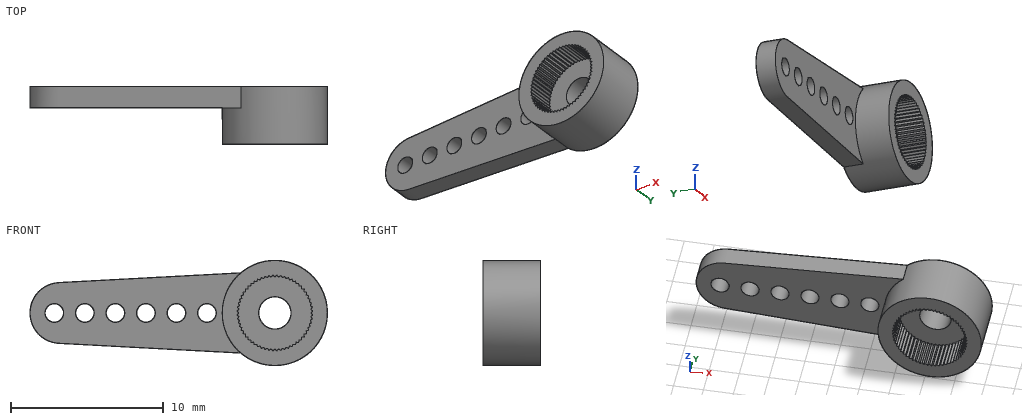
import cadquery as cq
import math


overall_length = 19.5

hub_radius = 3.45
hub_height = 3.8
screw_hole_diameter = 2.1

spline_teeth = 60
spline_root_radius = 2.48
spline_tip_radius = 2.37
socket_floor = 1.8

arm_thickness = 1.4
arm_end_radius = 2.0
arm_length = overall_length - hub_radius - arm_end_radius
arm_base_radius = 2.75

linkage_hole_count = 6
linkage_hole_pitch = 2.0
linkage_hole_diameter = 1.2
hole_gap_from_hub = 1.0
nearest_hole_distance = hub_radius + hole_gap_from_hub


def back_plane():
    """Sketch plane on the flat back: local x is X, local y is Z, extrusion goes toward -Y."""
    return cq.Workplane("XZ")


def make_arm():
    """Tapered arm with straight sides tangent to its rounded end."""
    taper = math.asin((arm_base_radius - arm_end_radius) / arm_length)
    end_x = -arm_length - arm_end_radius * math.sin(taper)
    end_z = arm_end_radius * math.cos(taper)
    base_x = -arm_base_radius * math.sin(taper)
    base_z = arm_base_radius * math.cos(taper)
    return (
        back_plane()
        .moveTo(base_x, base_z)
        .lineTo(end_x, end_z)
        .threePointArc((-arm_length - arm_end_radius, 0), (end_x, -end_z))
        .lineTo(base_x, -base_z)
        .close()
        .extrude(arm_thickness)
    )


def make_hub():
    return back_plane().circle(hub_radius).extrude(hub_height)


def make_socket():
    """Socket cutter: V-shaped teeth, with a tooth tip on the X axis."""
    outline = []
    for step in range(2 * spline_teeth):
        angle = math.pi * step / spline_teeth
        radius = spline_tip_radius if step % 2 == 0 else spline_root_radius
        outline.append((radius * math.cos(angle), radius * math.sin(angle)))
    return (
        back_plane()
        .workplane(offset=socket_floor)
        .polyline(outline)
        .close()
        .extrude(hub_height - socket_floor)
    )


def make_screw_hole():
    return back_plane().circle(screw_hole_diameter / 2).extrude(hub_height)


def make_linkage_holes():
    centres = []
    for index in range(linkage_hole_count):
        centres.append((-nearest_hole_distance - index * linkage_hole_pitch, 0))
    return back_plane().pushPoints(centres).circle(linkage_hole_diameter / 2).extrude(arm_thickness)


result = (
    make_hub()
    .union(make_arm())
    .cut(make_socket())
    .cut(make_screw_hole())
    .cut(make_linkage_holes())
)